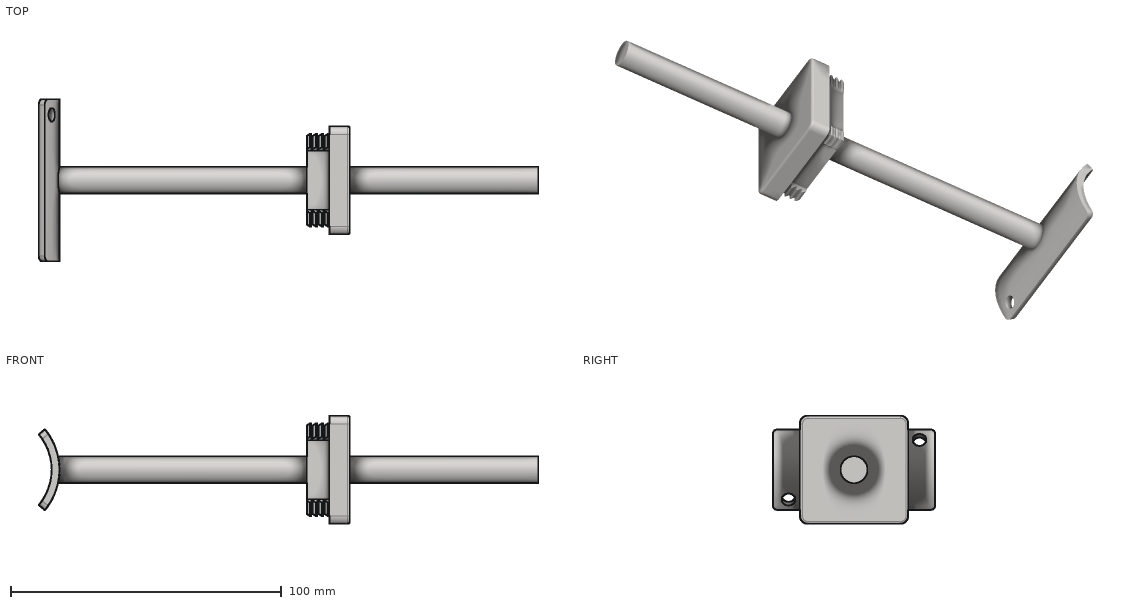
import cadquery as cq
import math

TOTAL_LENGTH = 184.5
CUT_REACH = 92.3

SADDLE_WIDTH = 60.0
SADDLE_OUTER_RADIUS = 23.3
SADDLE_THICKNESS = 3.0
SADDLE_HEIGHT = 29.9
SADDLE_CORNER_RADIUS = 2.0
SADDLE_INNER_RADIUS = SADDLE_OUTER_RADIUS - SADDLE_THICKNESS
SADDLE_HALF_ANGLE = math.asin(SADDLE_HEIGHT / 2 / SADDLE_OUTER_RADIUS)
SADDLE_AXIS_X = -SADDLE_INNER_RADIUS * math.cos(SADDLE_HALF_ANGLE)

HOLE_DIAMETER = 5.0
HOLE_OFFSET_Y = 24.2
HOLE_ANGLE_DEG = 28.5

ROD_DIAMETER = 10.0

COVER_SIZE = 40.0
COVER_THICKNESS = 7.5
COVER_START_X = 107.5
COVER_CORNER_RADIUS = 3.0
COVER_EDGE_FILLET = 1.0

BARB_COUNT = 4
BARB_PITCH = 2.2
BARB_RAMP = 1.1
BARB_LAND = 0.5
BARB_TIP_HALF = 17.2
BARB_ROOT_HALF = 16.5
RECESS_FLOOR_HALF = 15.9
RECESS_FLOOR_HALF_WIDTH = 10.9

PLUG_LENGTH = (BARB_COUNT - 1) * BARB_PITCH + BARB_RAMP + BARB_LAND
PLUG_START_X = COVER_START_X - PLUG_LENGTH


def polar_point(radius, angle):
    """Point in the XZ plane at an angle above the X direction, measured about the saddle axis."""
    return (SADDLE_AXIS_X + radius * math.cos(angle), radius * math.sin(angle))


def make_saddle():
    """Arc-shaped plate with rounded corners and two radial holes."""
    plate = (
        cq.Workplane("XZ")
        .moveTo(*polar_point(SADDLE_INNER_RADIUS, -SADDLE_HALF_ANGLE))
        .lineTo(*polar_point(SADDLE_OUTER_RADIUS, -SADDLE_HALF_ANGLE))
        .threePointArc(
            polar_point(SADDLE_OUTER_RADIUS, 0),
            polar_point(SADDLE_OUTER_RADIUS, SADDLE_HALF_ANGLE),
        )
        .lineTo(*polar_point(SADDLE_INNER_RADIUS, SADDLE_HALF_ANGLE))
        .threePointArc(
            polar_point(SADDLE_INNER_RADIUS, 0),
            polar_point(SADDLE_INNER_RADIUS, -SADDLE_HALF_ANGLE),
        )
        .close()
        .extrude(SADDLE_WIDTH / 2, both=True)
    )
    plate = plate.faces("<Y or >Y").edges("%LINE").fillet(SADDLE_CORNER_RADIUS)
    for side in (1, -1):
        hole = (
            cq.Workplane("YZ")
            .center(side * HOLE_OFFSET_Y, 0)
            .circle(HOLE_DIAMETER / 2)
            .extrude(CUT_REACH)
            .rotate((0, 0, 0), (0, 1, 0), -side * HOLE_ANGLE_DEG)
            .translate((SADDLE_AXIS_X, 0, 0))
        )
        plate = plate.cut(hole)
    return plate


def make_rod():
    """Round rod whose -X end follows the saddle's outer surface."""
    rod = cq.Workplane("YZ").circle(ROD_DIAMETER / 2).extrude(TOTAL_LENGTH)
    saddle_cylinder = (
        cq.Workplane("XZ")
        .center(SADDLE_AXIS_X, 0)
        .circle(SADDLE_OUTER_RADIUS)
        .extrude(CUT_REACH, both=True)
    )
    return rod.cut(saddle_cylinder)


def make_cover():
    """Square cover plate with rounded corners and a filleted outer face."""
    return (
        cq.Workplane("YZ", origin=(COVER_START_X, 0, 0))
        .rect(COVER_SIZE, COVER_SIZE)
        .extrude(COVER_THICKNESS)
        .edges("|X")
        .fillet(COVER_CORNER_RADIUS)
        .faces(">X")
        .edges()
        .fillet(COVER_EDGE_FILLET)
    )


def barb_prism(plane):
    """Bar with saw-tooth barbs on its two sides, extruded across the given plane."""
    upper_side = []
    for index in range(BARB_COUNT):
        root_x = PLUG_START_X + index * BARB_PITCH
        tip_x = root_x + BARB_RAMP
        drop_x = tip_x + BARB_LAND
        upper_side += [(root_x, BARB_ROOT_HALF), (tip_x, BARB_TIP_HALF), (drop_x, BARB_TIP_HALF)]
        if index < BARB_COUNT - 1:
            upper_side.append((drop_x, BARB_ROOT_HALF))
    lower_side = [(x, -half) for x, half in reversed(upper_side)]
    return (
        cq.Workplane(plane)
        .polyline(upper_side + lower_side)
        .close()
        .extrude(CUT_REACH, both=True)
    )


def make_plug():
    """Square plug, barbed at its corners, with a plain recess along each side."""
    plug = barb_prism("XZ").intersect(barb_prism("XY"))
    recess_depth = CUT_REACH - RECESS_FLOOR_HALF
    recess = (
        cq.Workplane("YZ", origin=(PLUG_START_X, 0, 0))
        .polyline([
            (-RECESS_FLOOR_HALF_WIDTH, RECESS_FLOOR_HALF),
            (RECESS_FLOOR_HALF_WIDTH, RECESS_FLOOR_HALF),
            (RECESS_FLOOR_HALF_WIDTH + recess_depth, CUT_REACH),
            (-RECESS_FLOOR_HALF_WIDTH - recess_depth, CUT_REACH),
        ])
        .close()
        .extrude(PLUG_LENGTH)
    )
    for quarter in range(4):
        plug = plug.cut(recess.rotate((0, 0, 0), (1, 0, 0), quarter * 90))
    return plug


def make_end_cap(rod):
    """Cover and plug in one piece, bored for the rod."""
    return make_cover().union(make_plug()).cut(rod)


saddle = make_saddle()
rod = make_rod()
end_cap = make_end_cap(rod)

bodies = [body.solids().val() for body in (saddle, rod, end_cap)]
result = cq.Compound.makeCompound(bodies)